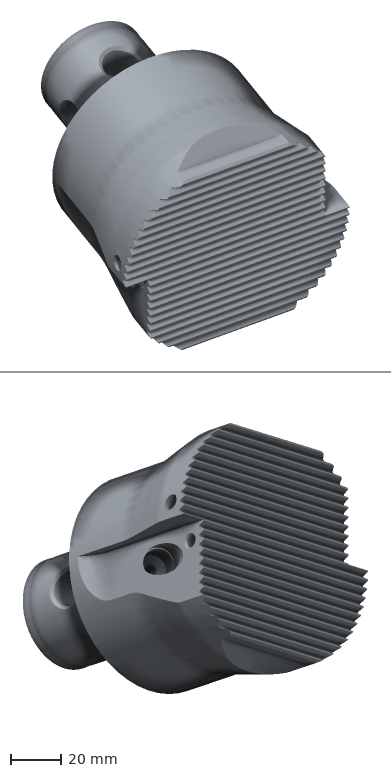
import cadquery as cq
import math


total_length = 123.0
shank_length = 49.9
shank_radius = 46.0 / 2
neck_radius = 45.4 / 2
neck_start = 49.3
neck_taper_start = 47.8
body_radius = 90.0 / 2
head_radius = 102.0 / 2
flare_start = 84.0
flare_end = 108.5
flare_start_tangent = 3.8
flare_end_tangent = 1.4
edge_chamfer = 0.4

shank_groove_start = 1.7
shank_groove_bottom = 3.9
shank_groove_end = 6.4
end_recess_radius = 19.5
end_recess_depth = 0.2
face_recess_outer_radius = 27.0
face_recess_inner_radius = 26.0
face_recess_depth = 0.4

bore_radius = 22.5 / 2
bore_depth = 50.2
bore_chamfer = 0.4
drill_half_angle = math.radians(59)

seat_position = 25.0
seat_inner_radius = 4.9
seat_half_angle = math.radians(15)
seat_edge_chamfer = 1.1

dowel_offset = 34.9
dowel_diameter = 8.2
dowel_mouth_diameter = 10.1
dowel_depth = 12.3

slot_face = 40.0
slot_runout_radius = 22.8
slot_runout_end = 69.6

coolant_exit = 99.0
coolant_turn = 15.0
coolant_tilt = math.radians(34)
coolant_mouth_diameter = 13.0
coolant_mouth_depth = 9.6
coolant_diameter = 12.0
coolant_depth = 24.6
coolant_feed_diameter = 5.0
coolant_inner_radius = 8.6
coolant_lead_in = 18.5

screw_position = 115.0
screw_offset = 13.9 / 2
screw_diameter = 5.0
screw_mouth_diameter = 6.5
screw_counterbore_depth = 9.8

flat_height = body_radius
flat_start = 116.2
flat_ramp_angle = math.radians(30)

serration_half_width = 48.0
serrations_per_half = 12
serration_pitch = serration_half_width / serrations_per_half
serration_depth = 2.6
serration_mouth = 3.3
serration_root = 0.6

clearance = 6.2


def both_sides(shape):
    """Return the shape together with its copy turned half a turn about X."""
    return shape.union(shape.rotate((0, 0, 0), (1, 0, 0), 180))


def revolve_about_x(profile):
    return profile.close().revolve(360, (0, 0, 0), (1, 0, 0))


def tangent_points(corner, tangent, angle_in, angle_out):
    """Start, middle and end of an arc that rounds a corner between two directions."""
    x, r = corner
    turn = angle_out - angle_in
    radius = tangent / math.tan(abs(turn) / 2)
    side = math.copysign(1, turn)
    start = (x - tangent * math.cos(angle_in), r - tangent * math.sin(angle_in))
    end = (x + tangent * math.cos(angle_out), r + tangent * math.sin(angle_out))
    bisector = (angle_in + angle_out) / 2 + side * math.pi / 2
    to_arc = radius / math.cos(turn / 2) - radius
    middle = (x + to_arc * math.cos(bisector), r + to_arc * math.sin(bisector))
    return start, middle, end


def turned_body():
    flare_angle = math.atan2(head_radius - body_radius, flare_end - flare_start)
    concave = tangent_points((flare_start, body_radius), flare_start_tangent, 0, flare_angle)
    convex = tangent_points((flare_end, head_radius), flare_end_tangent, flare_angle, 0)
    recess_floor = shank_length + face_recess_depth
    profile = (
        cq.Workplane("XY")
        .moveTo(end_recess_depth, 0)
        .lineTo(end_recess_depth, end_recess_radius - end_recess_depth)
        .lineTo(0, end_recess_radius)
        .lineTo(0, shank_radius - edge_chamfer)
        .lineTo(edge_chamfer, shank_radius)
        .lineTo(shank_groove_start, shank_radius)
        .lineTo(shank_groove_bottom, neck_radius)
        .lineTo(shank_groove_end, shank_radius)
        .lineTo(neck_taper_start, shank_radius)
        .lineTo(neck_start, neck_radius)
        .lineTo(recess_floor, neck_radius)
        .lineTo(recess_floor, face_recess_inner_radius)
        .lineTo(shank_length, face_recess_outer_radius)
        .lineTo(shank_length, body_radius - edge_chamfer)
        .lineTo(shank_length + edge_chamfer, body_radius)
        .lineTo(*concave[0])
        .threePointArc(*concave[1:])
        .lineTo(*convex[0])
        .threePointArc(*convex[1:])
        .lineTo(total_length, head_radius)
        .lineTo(total_length, 0)
    )
    return revolve_about_x(profile)


def drilled_hole(origin, direction, diameter, depth, lead_in=clearance):
    """A drill-pointed blind hole, also cutting the lead-in length before its origin."""
    radius = diameter / 2
    point = depth + radius / math.tan(drill_half_angle)
    normal = cq.Vector(*direction).cross(cq.Vector(0, 1, 0))
    plane = cq.Plane(origin=origin, xDir=direction, normal=normal)
    profile = (
        cq.Workplane(plane)
        .moveTo(-lead_in, 0)
        .lineTo(-lead_in, radius)
        .lineTo(depth, radius)
        .lineTo(point, 0)
    )
    return revolve_about_x(profile)


def pin_seat():
    """Conical seat opening upward, from the axis to beyond the shank surface."""
    slope = math.tan(seat_half_angle)
    outer = shank_radius + clearance
    axis_radius = seat_inner_radius - bore_radius * slope
    outer_radius = axis_radius + outer * slope
    return (
        cq.Workplane("XZ", origin=(seat_position, 0, 0))
        .lineTo(axis_radius, 0)
        .lineTo(outer_radius, outer)
        .lineTo(0, outer)
        .close()
        .revolve(360, (0, 0, 0), (0, 1, 0))
    )


def cut_pin_seats(body):
    top_seat = pin_seat()
    side_seat = top_seat.rotate((0, 0, 0), (1, 0, 0), 90)
    body = body.cut(top_seat).cut(side_seat)
    mouth = seat_inner_radius + clearance
    top_rim = cq.selectors.BoxSelector(
        (seat_position - mouth, -mouth, bore_radius + clearance),
        (seat_position + mouth, mouth, shank_radius),
    )
    side_rim = cq.selectors.BoxSelector(
        (seat_position - mouth, -shank_radius, -mouth),
        (seat_position + mouth, -bore_radius - clearance, mouth),
    )
    return body.edges(top_rim).chamfer(seat_edge_chamfer).edges(side_rim).chamfer(seat_edge_chamfer)


def cone(start_radius, end_radius, start, direction):
    """A 45 degree cone between two radii, used to chamfer hole mouths."""
    height = abs(end_radius - start_radius)
    return cq.Workplane(
        cq.Solid.makeCone(start_radius, end_radius, height, cq.Vector(*start), cq.Vector(*direction))
    )


def bore():
    hole = drilled_hole((0, 0, 0), (1, 0, 0), 2 * bore_radius, bore_depth)
    mouth = cone(bore_radius + bore_chamfer, bore_radius, (end_recess_depth, 0, 0), (1, 0, 0))
    return hole.union(mouth)


def dowel_hole():
    start = (shank_length, 0, -dowel_offset)
    hole = drilled_hole(start, (1, 0, 0), dowel_diameter, dowel_depth)
    mouth = cone(dowel_mouth_diameter / 2, dowel_diameter / 2, start, (1, 0, 0))
    return hole.union(mouth)


def chip_slot():
    """Slot below the axis plane on the -Y side, with a round run-out toward the shank."""
    outside = slot_face + slot_runout_radius
    run_out = (
        cq.Workplane("XY")
        .center(slot_runout_end, -outside)
        .circle(slot_runout_radius)
        .extrude(-head_radius)
    )
    length = total_length - slot_runout_end
    floor = (
        cq.Workplane("XY")
        .box(length, slot_runout_radius, head_radius, centered=False)
        .translate((slot_runout_end, -outside, -head_radius))
    )
    return run_out.union(floor)


def coolant_hole():
    """Stepped hole from the -Y slot down to the drill point of the bore."""
    exit_radius = slot_face / math.cos(math.radians(coolant_turn))
    feed_depth = (exit_radius - coolant_inner_radius) / math.sin(coolant_tilt)
    inward = (-math.cos(coolant_tilt), 0, -math.sin(coolant_tilt))
    exit_point = (coolant_exit, 0, exit_radius)
    main = drilled_hole(exit_point, inward, coolant_diameter, coolant_depth, coolant_lead_in)
    feed = drilled_hole(exit_point, inward, coolant_feed_diameter, feed_depth)
    mouth = (
        cq.Workplane(cq.Plane(origin=exit_point, xDir=(0, 1, 0), normal=inward))
        .workplane(offset=-coolant_lead_in)
        .circle(coolant_mouth_diameter / 2)
        .extrude(coolant_lead_in + coolant_mouth_depth)
    )
    hole = main.union(feed).union(mouth)
    return hole.rotate((0, 0, 0), (1, 0, 0), 90 + coolant_turn)


def screw_hole():
    """Hole along Y, counterbored from the -Y surface, opening into the +Y slot."""
    step = (screw_mouth_diameter - screw_diameter) / 2
    axis = cq.Workplane("XZ", origin=(screw_position, 0, screw_offset))
    through = axis.circle(screw_diameter / 2).extrude(head_radius + clearance, both=True)
    counterbore = (
        axis.workplane(offset=head_radius - screw_counterbore_depth)
        .circle(screw_mouth_diameter / 2)
        .extrude(screw_counterbore_depth + clearance)
    )
    mouth_start = (screw_position, slot_face - step, screw_offset)
    mouth = cone(screw_diameter / 2, screw_mouth_diameter / 2, mouth_start, (0, 1, 0))
    return through.union(counterbore).union(mouth)


def head_flat():
    """Flat above the teeth with a ramp rising toward the shank."""
    ramp_rise = head_radius + clearance - flat_height
    ramp_start = flat_start - ramp_rise / math.tan(flat_ramp_angle)
    return (
        cq.Workplane("XZ")
        .moveTo(total_length, flat_height)
        .lineTo(flat_start, flat_height)
        .lineTo(ramp_start, flat_height + ramp_rise)
        .lineTo(total_length, flat_height + ramp_rise)
        .close()
        .extrude(head_radius, both=True)
    )


def serrations():
    grooves = cq.Workplane("XZ")
    for index in range(-serrations_per_half, serrations_per_half):
        z = (index + 0.5) * serration_pitch
        grooves = (
            grooves.moveTo(total_length, z - serration_mouth / 2)
            .lineTo(total_length - serration_depth, z - serration_root / 2)
            .lineTo(total_length - serration_depth, z + serration_root / 2)
            .lineTo(total_length, z + serration_mouth / 2)
            .close()
        )
    return grooves.extrude(head_radius + clearance, both=True)


result = turned_body()
result = result.cut(bore())
result = cut_pin_seats(result)
result = result.cut(dowel_hole())
result = result.cut(both_sides(chip_slot()))
result = result.cut(both_sides(coolant_hole()))
result = result.cut(both_sides(screw_hole()))
result = result.cut(both_sides(head_flat()))
result = result.cut(serrations())